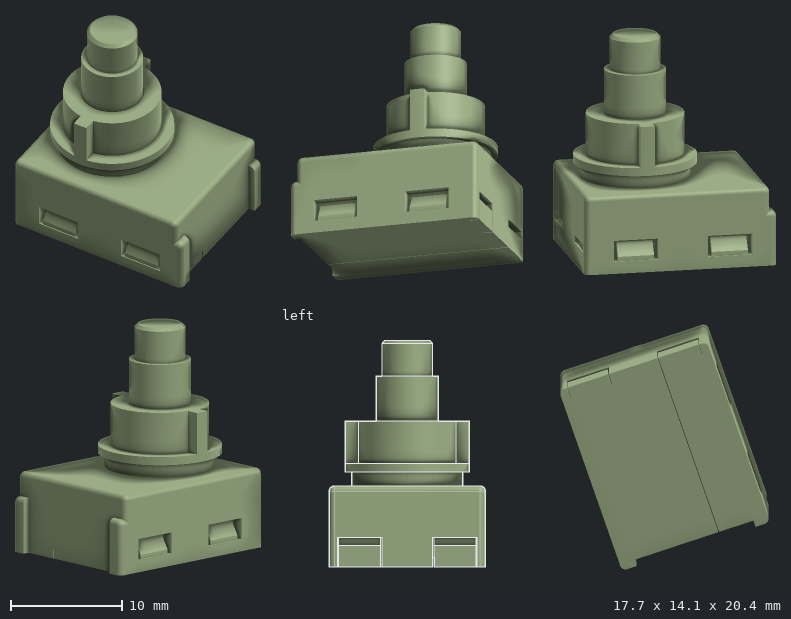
import cadquery as cq

length = 17.67
width = 14.08
body_length = 17.05
body_top = 7.3
foot_top = 5.08
foot_width = 1.39
edge_radius = 0.5
wall = 1.0

axis_x = 6.12
neck_diameter = 10.02
flange_diameter = 11.18
flange_bottom = 8.55
flange_top = 9.3
collar_diameter = 8.87
collar_top = 13.12
key_width = 1.3
bore_diameter = 5.73
shaft_diameter = 5.59
shaft_step = 17.18
tip_diameter = 4.57
tip_chamfer = 0.29
tip_top = 20.4

window_centers_x = (4.73, 13.36)
window_width = 4.08
window_bottom = 1.12
window_top = 3.05
wedge_width = 3.33
wedge_top = 2.71
wedge_lip_top = 1.53
wedge_top_reach = 0.16
wedge_lip_reach = 0.9

notch_center_y = 4.28
notch_width = 4.0
notch_top = 2.65
tab_center_y = 4.3
tab_width = 3.8
tab_top = 1.94
tab_step_depth = 0.88

slit_height = 0.84
slit_outer_y = tab_width / 2 - tab_center_y
slit_inner_y = notch_width / 2 - notch_center_y

cavity_width = width - 2 * wall
cavity_top = body_top - wall


def block(x_min, x_max, y_min, y_max, z_min, z_max):
    """Axis-aligned box between the given limits."""
    corner = cq.Workplane("XY", origin=(x_min, y_min, z_min))
    return corner.box(x_max - x_min, y_max - y_min, z_max - z_min, centered=False)


def cylinder(diameter, z_min, z_max):
    """Upright cylinder on the shaft axis."""
    return cq.Workplane("XY", origin=(axis_x, 0, z_min)).circle(diameter / 2).extrude(z_max - z_min)


def cavity_block():
    """Room inside the housing, filled by the core."""
    return block(wall, body_length - wall, -cavity_width / 2, cavity_width / 2, 0, cavity_top)


def slit():
    """Narrow channel in the bottom, open at both X ends."""
    return block(0, length, slit_outer_y, slit_inner_y, 0, slit_height)


def rounded_case():
    """Stepped block with rounded outer edges and two feet at its +X end."""
    case = (
        cq.Workplane("XZ", origin=(0, width / 2, 0))
        .polyline([(0, 0), (length, 0), (length, foot_top), (body_length, foot_top),
                   (body_length, body_top), (0, body_top)])
        .close()
        .extrude(width)
    )
    inside_corner = cq.selectors.NearestToPointSelector((body_length, 0, foot_top))
    rounded = cq.selectors.SubtractSelector(cq.StringSyntaxSelector("not <Z"), inside_corner)
    case = case.edges(rounded).fillet(edge_radius)
    between_feet = width - 2 * foot_width
    return case.cut(block(body_length, length, -between_feet / 2, between_feet / 2, 0, foot_top))


def neck():
    """Neck, flange and keyed collar standing on the case."""
    key_ring = cylinder(flange_diameter, flange_top, collar_top)
    key_bar = block(axis_x - key_width / 2, axis_x + key_width / 2,
                    -flange_diameter, flange_diameter, flange_top, collar_top)
    return (
        cylinder(neck_diameter, cavity_top, flange_bottom)
        .union(cylinder(flange_diameter, flange_bottom, flange_top))
        .union(cylinder(collar_diameter, flange_top, collar_top))
        .union(key_ring.intersect(key_bar))
    )


def make_housing():
    """Hollow case with its neck, bore, snap windows and notches."""
    housing = rounded_case().union(neck())
    housing = housing.cut(cavity_block()).cut(cylinder(bore_diameter, cavity_top, collar_top))
    for center_x in window_centers_x:
        x_min = center_x - window_width / 2
        x_max = center_x + window_width / 2
        housing = housing.cut(block(x_min, x_max, -width / 2, width / 2, window_bottom, window_top))
    for side in (-1, 1):
        center_y = side * notch_center_y
        notch = block(0, wall, center_y - notch_width / 2, center_y + notch_width / 2, 0, notch_top)
        housing = housing.cut(notch)
    return housing.cut(slit())


def wedge(center_x):
    """Snap wedge on the -Y face of the core, sloping out and down to its lip."""
    root_y = -cavity_width / 2
    lip_y = root_y - wedge_lip_reach
    top_y = root_y - wedge_top_reach
    return (
        cq.Workplane("YZ", origin=(center_x - wedge_width / 2, 0, 0))
        .polyline([(root_y, window_bottom), (lip_y, window_bottom),
                   (lip_y, wedge_lip_top), (top_y, wedge_top), (root_y, wedge_top)])
        .close()
        .extrude(wedge_width)
    )


def make_shaft():
    """Stepped shaft with a chamfered tip, rising from the base block."""
    tip = cylinder(tip_diameter, shaft_step, tip_top).faces(">Z").chamfer(tip_chamfer)
    return cylinder(shaft_diameter, cavity_top, shaft_step).union(tip)


def tab(center_y):
    """Stepped tab on the -X face of the core, flush with the housing below its ledge."""
    y_min = center_y - tab_width / 2
    y_max = center_y + tab_width / 2
    lower = block(0, wall, y_min, y_max, 0, tab_top)
    return lower.union(block(tab_step_depth, wall, y_min, y_max, 0, notch_top))


def make_core():
    """Base block with its snap wedges, tabs and shaft."""
    core = cavity_block().union(make_shaft())
    for center_x in window_centers_x:
        core = core.union(wedge(center_x)).union(wedge(center_x).mirror("XZ"))
    for side in (-1, 1):
        core = core.union(tab(side * tab_center_y))
    return core.cut(slit())


housing = make_housing()
core = make_core()
result = cq.Compound.makeCompound([housing.val(), core.val()])